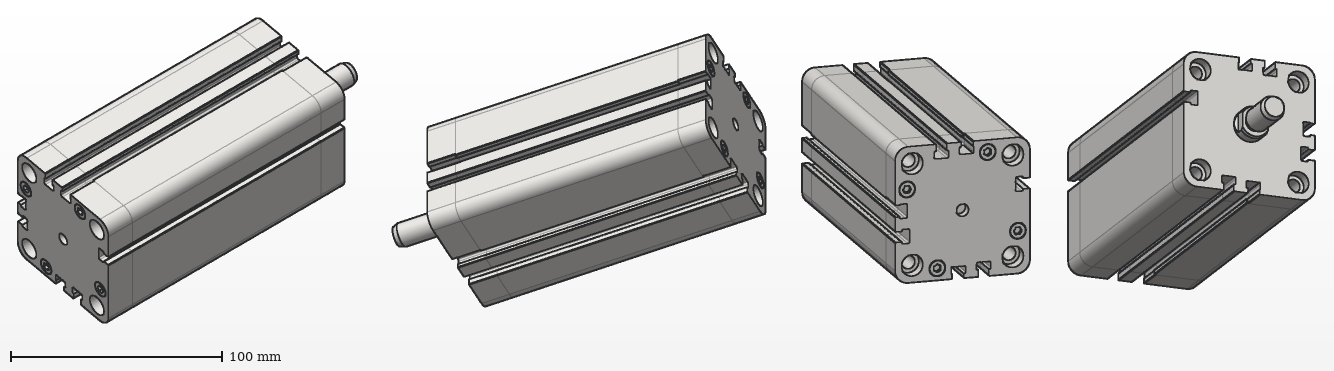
import cadquery as cq


body_side = 67.0
half_side = body_side / 2
total_length = 177.0
rod_projection = 31.5
body_length = total_length - rod_projection
cap_length = 14.6
barrel_length = body_length - 2 * cap_length
corner_radius = 6.5

mouth_width = 5.2
mouth_chamfer = 0.3
pocket_width = 7.1
pocket_corner_radius = 0.8
deep_slot_offset = -10.5
deep_slot_depth = 7.2
deep_slot_lip = 3.4
shallow_slot_offset = 2.0
shallow_slot_depth = 6.0
shallow_slot_lip = 2.3
cap_mouth_widening = 0.6
deep_slot_faces = 4
shallow_slot_faces = 3

fixing_spacing = 50.0
fixing_diameter = 6.65
fixing_bore_diameter = 10.5
fixing_bore_depth = 6.2

screw_x = 12.5
screw_z = 27.5
screw_count = 4
screw_head_diameter = 7.5
screw_seat_diameter = 8.0
screw_head_height = 4.0
socket_across_corners = 4.0
socket_depth = 2.0

pilot_diameter = 6.0
pilot_depth = 5.0

rod_diameter = 16.0
rod_chamfer_length = 1.5
rod_chamfer_depth = 0.6
across_flats = 13.0
flat_start = 2.1
neck_diameter = 10.0
thread_diameter = 12.0
thread_length = 21.0
thread_tip_diameter = 10.0
thread_tip_length = 2.75
thread_runout_length = 0.5
neck_length = 2.6
collar_length = rod_projection - thread_length - thread_runout_length - neck_length


def turn_quarters(shape, quarters):
    """Turn a shape about the cylinder axis in steps of 90 degrees."""
    return shape.rotate((0, 0, 0), (0, 1, 0), -90 * quarters)


def cross_section(y):
    """Sketch plane across the body at height y; extrude by a negative amount to go toward +Y."""
    return cq.Workplane("XZ", origin=(0, y, 0))


def cylinder(x, z, diameter, start, length):
    return cross_section(start).center(x, z).circle(diameter / 2).extrude(-length)


def slot_cutter(start, length, offset, depth, lip, widening=0.0):
    """T-slot in the +Z face; widening moves only the +X side of the mouth."""
    left = offset - mouth_width / 2
    right = offset + mouth_width / 2 + widening
    mouth = (
        cross_section(start)
        .moveTo(left, half_side - depth)
        .lineTo(left, half_side - mouth_chamfer)
        .lineTo(left - mouth_chamfer, half_side)
        .lineTo(right + mouth_chamfer, half_side)
        .lineTo(right, half_side - mouth_chamfer)
        .lineTo(right, half_side - depth)
        .close()
        .extrude(-length)
    )
    pocket_height = depth - lip
    pocket = (
        cross_section(start)
        .center(offset, half_side - depth + pocket_height / 2)
        .rect(pocket_width, pocket_height)
        .extrude(-length)
        .edges("|Y")
        .fillet(pocket_corner_radius)
    )
    return mouth.union(pocket)


def body_section(start, length, shallow_widening):
    """One length of the slotted square profile."""
    section = cross_section(start).rect(body_side, body_side).extrude(-length)
    section = section.edges("|Y").fillet(corner_radius)
    deep_slot = slot_cutter(start, length, deep_slot_offset, deep_slot_depth, deep_slot_lip)
    for quarter in range(deep_slot_faces):
        section = section.cut(turn_quarters(deep_slot, quarter))
    shallow_slot = slot_cutter(
        start, length, shallow_slot_offset, shallow_slot_depth, shallow_slot_lip, shallow_widening
    )
    for quarter in range(shallow_slot_faces):
        section = section.cut(turn_quarters(shallow_slot, quarter))
    return section


def fixing_hole(x, z):
    """Through hole with a counterbore at each end of the body."""
    hole = cylinder(x, z, fixing_diameter, 0, body_length)
    rear_bore = cylinder(x, z, fixing_bore_diameter, 0, fixing_bore_depth)
    front_bore = cylinder(x, z, fixing_bore_diameter, body_length - fixing_bore_depth, fixing_bore_depth)
    return hole.union(rear_bore).union(front_bore)


def screw_cutter():
    """Gap around one screw head, together with its hexagon socket."""
    seat = cylinder(screw_x, screw_z, screw_seat_diameter, 0, screw_head_height)
    head = cylinder(screw_x, screw_z, screw_head_diameter, 0, screw_head_height)
    socket = (
        cross_section(0)
        .center(screw_x, screw_z)
        .transformed(rotate=(0, 0, 90))
        .polygon(6, socket_across_corners)
        .extrude(-socket_depth)
    )
    return seat.cut(head).union(socket)


def make_body():
    rear_cap = body_section(0, cap_length, cap_mouth_widening)
    barrel = body_section(cap_length, barrel_length, 0)
    front_cap = body_section(cap_length + barrel_length, cap_length, cap_mouth_widening)
    body = rear_cap.union(barrel, clean=False).union(front_cap, clean=False)
    fixing_reach = fixing_spacing / 2
    for x in (-fixing_reach, fixing_reach):
        for z in (-fixing_reach, fixing_reach):
            body = body.cut(fixing_hole(x, z), clean=False)
    for quarter in range(screw_count):
        body = body.cut(turn_quarters(screw_cutter(), quarter), clean=False)
    return body.cut(cylinder(0, 0, pilot_diameter, 0, pilot_depth), clean=False)


def flat_cutter():
    """Removes the +X side of the collar, with a 45 degree run-out next to the body."""
    flat_x = across_flats / 2
    outer_x = rod_diameter / 2
    runout = outer_x - flat_x
    flat_y = body_length + flat_start
    collar_end = body_length + collar_length
    return (
        cq.Workplane("XY", origin=(0, 0, -outer_x))
        .moveTo(flat_x, flat_y)
        .lineTo(outer_x, flat_y - runout)
        .lineTo(outer_x, collar_end)
        .lineTo(flat_x, collar_end)
        .close()
        .extrude(rod_diameter)
    )


def make_rod():
    rod_radius = rod_diameter / 2
    neck_radius = neck_diameter / 2
    thread_radius = thread_diameter / 2
    tip_radius = thread_tip_diameter / 2
    collar_end = body_length + collar_length
    neck_end = collar_end + neck_length
    thread_start = neck_end + thread_runout_length
    rod = (
        cq.Workplane("XY")
        .moveTo(0, body_length)
        .lineTo(rod_radius, body_length)
        .lineTo(rod_radius, collar_end - rod_chamfer_length)
        .lineTo(rod_radius - rod_chamfer_depth, collar_end)
        .lineTo(neck_radius, collar_end)
        .lineTo(neck_radius, neck_end)
        .lineTo(thread_radius, thread_start)
        .lineTo(thread_radius, total_length - thread_tip_length)
        .lineTo(tip_radius, total_length)
        .lineTo(0, total_length)
        .close()
        .revolve(360, (0, 0, 0), (0, 1, 0))
    )
    return rod.cut(flat_cutter()).cut(turn_quarters(flat_cutter(), 2))


result = make_body().union(make_rod(), clean=False)